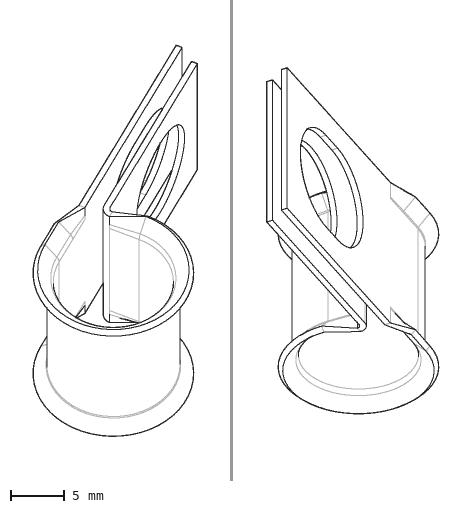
import cadquery as cq
import math

length = 34.05
height = 15.9
thickness = 0.6
lip_diameter = 14.95
lip_radius = lip_diameter / 2
bore_radius = 5.58
wall_radius = bore_radius + thickness
half_height = height / 2
loop_angle = 270

lip_lean = math.radians(45)
bend_outer_radius = 0.2
bend_inner_radius = bend_outer_radius + thickness
lean_sin = math.sin(lip_lean)
lean_cos = math.cos(lip_lean)
lip_reach = lip_radius - bore_radius
tip_z = half_height - thickness * lean_sin
straight_reach = lip_reach - bend_inner_radius + bend_outer_radius * lean_cos
lip_base_z = tip_z - straight_reach / math.tan(lip_lean) - bend_outer_radius * lean_sin

long_lug_end = length - lip_radius
lug_end_step = 1.12
short_lug_end = long_lug_end - lug_end_step
short_lug_outer_x = -4.1
corner_inner_radius = 0.4
corner_outer_radius = corner_inner_radius + thickness
corner_center_x = short_lug_outer_x + corner_outer_radius
corner_center_y = bore_radius + corner_outer_radius
straight_lip_end = 2.95
long_lug_start = 5.55

hole_y = 17.5
hole_diameter = 10.35
slot_length = 12.73


def section_on_long_side(y):
    """Section plane across the strip at x = -bore_radius, local x pointing away from the bore."""
    return cq.Workplane(cq.Plane((-bore_radius, y, 0), (-1, 0, 0), (0, 1, 0)))


def section_on_short_side(x):
    """Section plane across the strip at y = bore_radius, local x pointing away from the bore."""
    return cq.Workplane(cq.Plane((x, bore_radius, 0), (0, 1, 0), (1, 0, 0)))


def bend_point(radius, angle):
    """Point on a lip bend, as an offset from the bore and a height."""
    return (
        bend_inner_radius - radius * math.cos(angle),
        lip_base_z + radius * math.sin(angle),
    )


def lip_profile(plane):
    inner_end = bend_point(bend_inner_radius, lip_lean)
    outer_end = bend_point(bend_outer_radius, lip_lean)
    return (
        plane.moveTo(0, lip_base_z)
        .threePointArc(bend_point(bend_inner_radius, lip_lean / 2), inner_end)
        .lineTo(lip_reach - thickness * lean_cos, half_height)
        .lineTo(lip_reach, tip_z)
        .lineTo(*outer_end)
        .threePointArc(bend_point(bend_outer_radius, lip_lean / 2), (thickness, lip_base_z))
        .close()
    )


def flat_profile(plane):
    """Unflared edge of the strip, with one side for each side of the lip profile."""
    inner_bend_z = bend_point(bend_inner_radius, lip_lean)[1]
    outer_bend_z = bend_point(bend_outer_radius, lip_lean)[1]
    return (
        plane.moveTo(0, lip_base_z)
        .lineTo(0, inner_bend_z)
        .lineTo(0, half_height)
        .lineTo(thickness, half_height)
        .lineTo(thickness, outer_bend_z)
        .lineTo(thickness, lip_base_z)
        .close()
    )


def transition(lip_plane, flat_plane):
    """Ruled blend from the flared lip to the flat strip."""
    lip_wire = lip_profile(lip_plane).val()
    flat_wire = flat_profile(flat_plane).val()
    return cq.Workplane(cq.Solid.makeLoft([lip_wire, flat_wire], True))


def upright_box(x_min, x_max, y_min, y_max, box_height):
    return (
        cq.Workplane()
        .box(x_max - x_min, y_max - y_min, box_height)
        .translate(((x_min + x_max) / 2, (y_min + y_max) / 2, 0))
    )


def make_wall():
    """Middle band of the loop, between the two lips."""
    band_height = 2 * lip_base_z
    band = (
        section_on_long_side(0)
        .center(thickness / 2, 0)
        .rect(thickness, band_height)
        .revolve(loop_angle, (-bore_radius - thickness / 2, 0), (-bore_radius - thickness / 2, 1))
    )
    long_side = upright_box(-wall_radius, -bore_radius, 0, long_lug_start, band_height)
    short_side = upright_box(corner_center_x, 0, bore_radius, wall_radius, band_height)
    return band.union(long_side).union(short_side)


def make_lip():
    """Upper lip: three quarters of a turn, a straight run and two blended ends."""
    ring = lip_profile(section_on_long_side(0)).revolve(loop_angle, (-bore_radius, 0), (-bore_radius, 1))
    straight = lip_profile(section_on_long_side(0)).extrude(straight_lip_end)
    long_end = transition(section_on_long_side(straight_lip_end), section_on_long_side(long_lug_start))
    short_end = transition(section_on_short_side(0), section_on_short_side(corner_center_x))
    return ring.union(straight).union(long_end).union(short_end)


def make_long_lug():
    lug = upright_box(-wall_radius, -bore_radius, long_lug_start, long_lug_end, height)
    slot = (
        section_on_long_side(hole_y)
        .transformed(rotate=(0, 90, 0))
        .slot2D(slot_length, hole_diameter)
        .extrude(thickness, both=True)
    )
    return lug.cut(slot)


def make_short_lug():
    """Lug with the rounded corner that joins it to the loop."""
    inner_x = short_lug_outer_x + thickness
    diagonal = math.sqrt(0.5)
    outer_mid = (
        corner_center_x - corner_outer_radius * diagonal,
        corner_center_y - corner_outer_radius * diagonal,
    )
    inner_mid = (
        corner_center_x - corner_inner_radius * diagonal,
        corner_center_y - corner_inner_radius * diagonal,
    )
    lug = (
        cq.Workplane()
        .moveTo(corner_center_x, bore_radius)
        .threePointArc(outer_mid, (short_lug_outer_x, corner_center_y))
        .lineTo(short_lug_outer_x, short_lug_end)
        .lineTo(inner_x, short_lug_end)
        .lineTo(inner_x, corner_center_y)
        .threePointArc(inner_mid, (corner_center_x, wall_radius))
        .close()
        .extrude(half_height, both=True)
    )
    hole = (
        cq.Workplane("YZ", origin=(short_lug_outer_x, hole_y, 0))
        .circle(hole_diameter / 2)
        .extrude(thickness)
    )
    return lug.cut(hole)


upper_lip = make_lip()
lower_lip = upper_lip.mirror("XY")
result = make_wall().union(upper_lip).union(lower_lip).union(make_long_lug()).union(make_short_lug())